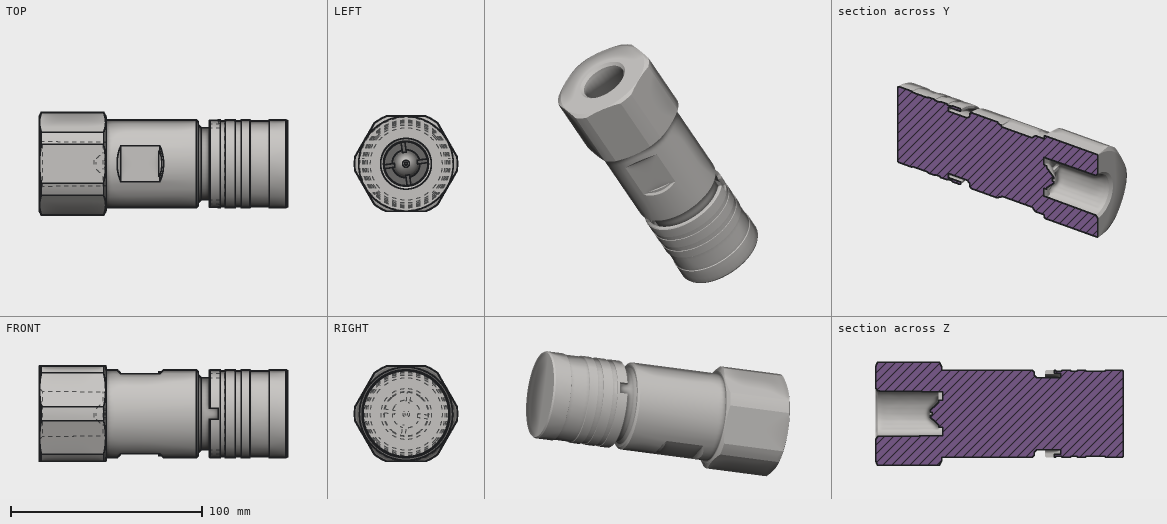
import cadquery as cq
import math

TOTAL_LENGTH = 129.85

NUT_LENGTH = 34.9
NUT_ACROSS_FLATS = 50.0
NUT_CORNER_RADIUS = 27.0
NUT_FACE_RADIUS = 24.8
NUT_FRONT_CHAMFER_LENGTH = 1.0
NUT_BACK_CHAMFER_LENGTH = 1.3
NUT_BACK_RADIUS = 24.4

BODY_RADIUS = 23.0
BODY_END = 82.2
BODY_CHAMFER_LENGTH = 1.0
BODY_CHAMFER_DEPTH = 1.2
NECK_RADIUS = 18.9
NECK_CONE_HEIGHT = 1.4

SLEEVE_START = 88.8
SLEEVE_START_CHAMFER = 0.5
SLEEVE_INNER_RADIUS = 21.1
SLEEVE_GAP_DEPTH = 8.0
SLEEVE_END_CHAMFER_LENGTH = 0.9
SLEEVE_END_CHAMFER_DEPTH = 0.5
GROOVE_RADIUS = 22.5
GRIP_GROOVES = [(94.6, 97.3), (102.4, 105.5)]
BAND_START = 110.3
BAND_END = 120.2
BAND_SIDE_CHAMFER = 0.2
NOTCH_WIDTH = 6.0
NOTCH_LENGTH = 4.7

FLAT_HEIGHT = 21.0
FLAT_START = 42.6
FLAT_END = 63.0
CORE_RADIUS = 22.0
CORE_START = 62.5

BORE_RADIUS = 11.8
BORE_FLOOR_RADIUS = 11.5
BORE_DEPTH = 35.0
BORE_MOUTH_RADIUS = 13.3
BORE_MOUTH_DEPTH = 1.4
HUB_BASE_RADIUS = 7.3
HUB_CONE_RADIUS = 6.0
HUB_BASE_HEIGHT = 2.0
HUB_CONE_HEIGHT = 4.5
HUB_TIP_RADIUS = 1.8
HUB_HOLE_RADIUS = 0.7
HUB_HOLE_DEPTH = 1.0
SPOKE_COUNT = 4
SPOKE_WIDTH = 2.0
SPOKE_TILT = -8.0


def turned(points):
    """Solid of revolution about the X axis from (x, radius) points."""
    return cq.Workplane("XZ").polyline(points).close().revolve(360, (0, 0, 0), (1, 0, 0))


def cylinder(start, end, radius):
    """Cylinder along the X axis between two stations."""
    return cq.Workplane("YZ", origin=(start, 0, 0)).circle(radius).extrude(end - start)


def make_nut():
    """Hexagon with flats on +Z and -Z, its corners rounded off and chamfered at both ends."""
    across_corners = NUT_ACROSS_FLATS / math.cos(math.pi / 6)
    hexagon = cq.Workplane("YZ").polygon(6, across_corners).extrude(NUT_LENGTH)
    envelope = turned([
        (0, 0),
        (0, NUT_FACE_RADIUS),
        (NUT_FRONT_CHAMFER_LENGTH, NUT_CORNER_RADIUS),
        (NUT_LENGTH - NUT_BACK_CHAMFER_LENGTH, NUT_CORNER_RADIUS),
        (NUT_LENGTH, NUT_BACK_RADIUS),
        (NUT_LENGTH, 0),
    ])
    return hexagon.intersect(envelope)


def make_body():
    """Body, neck and sleeve as one turned profile; the sleeve overhangs the neck with a gap."""
    step = BODY_END + BODY_CHAMFER_LENGTH
    gap_end = SLEEVE_START + SLEEVE_GAP_DEPTH
    return turned([
        (NUT_LENGTH / 2, 0),
        (NUT_LENGTH / 2, BODY_RADIUS),
        (BODY_END, BODY_RADIUS),
        (step, BODY_RADIUS - BODY_CHAMFER_DEPTH),
        (step, NECK_RADIUS + NECK_CONE_HEIGHT),
        (step + NECK_CONE_HEIGHT, NECK_RADIUS),
        (gap_end, NECK_RADIUS),
        (gap_end, SLEEVE_INNER_RADIUS),
        (SLEEVE_START, SLEEVE_INNER_RADIUS),
        (SLEEVE_START, BODY_RADIUS - SLEEVE_START_CHAMFER),
        (SLEEVE_START + SLEEVE_START_CHAMFER, BODY_RADIUS),
        (TOTAL_LENGTH - SLEEVE_END_CHAMFER_LENGTH, BODY_RADIUS),
        (TOTAL_LENGTH, BODY_RADIUS - SLEEVE_END_CHAMFER_DEPTH),
        (TOTAL_LENGTH, 0),
    ])


def cut_sleeve_grooves(part):
    """Two square grip grooves and a wide band with bevelled sides."""
    for start, end in GRIP_GROOVES:
        ring = cylinder(start, end, BODY_RADIUS).cut(cylinder(start, end, GROOVE_RADIUS))
        part = part.cut(ring)
    band = turned([
        (BAND_START, GROOVE_RADIUS),
        (BAND_START - BAND_SIDE_CHAMFER, BODY_RADIUS),
        (BAND_END + BAND_SIDE_CHAMFER, BODY_RADIUS),
        (BAND_END, GROOVE_RADIUS),
    ])
    return part.cut(band)


def cut_sleeve_notches(part):
    """Rectangular notches at the start of the sleeve on +Y and -Y, down to the neck surface."""
    slot = cq.Workplane("XY").box(
        NOTCH_LENGTH, 2 * BODY_RADIUS, NOTCH_WIDTH, centered=(False, True, True)
    ).translate((SLEEVE_START, 0, 0))
    return part.cut(slot.cut(cylinder(SLEEVE_START, SLEEVE_START + NOTCH_LENGTH, NECK_RADIUS)))


def cut_wrench_flats(part):
    """Flats with 45 degree ends; the inner core shows past the +X end of each flat."""
    rise = BODY_RADIUS - FLAT_HEIGHT
    pocket = (
        cq.Workplane("XZ")
        .polyline([
            (FLAT_START, FLAT_HEIGHT),
            (FLAT_START - rise, BODY_RADIUS),
            (FLAT_END + rise, BODY_RADIUS),
            (FLAT_END, FLAT_HEIGHT),
        ])
        .close()
        .extrude(BODY_RADIUS, both=True)
    )
    pocket = pocket.cut(cylinder(CORE_START, FLAT_END + rise, CORE_RADIUS))
    return part.cut(pocket).cut(pocket.mirror("XY"))


def make_hub():
    """Bevelled disc carrying a blunt cone with a small hole in its tip."""
    base_front = BORE_DEPTH - HUB_BASE_HEIGHT
    tip = base_front - HUB_CONE_HEIGHT
    return turned([
        (BORE_DEPTH, 0),
        (BORE_DEPTH, HUB_BASE_RADIUS),
        (base_front, HUB_CONE_RADIUS),
        (tip, HUB_TIP_RADIUS),
        (tip, HUB_HOLE_RADIUS),
        (tip + HUB_HOLE_DEPTH, HUB_HOLE_RADIUS),
        (tip + HUB_HOLE_DEPTH, 0),
    ])


def make_spokes():
    """Flat spokes joining the hub cone to the bore wall."""
    base_front = BORE_DEPTH - HUB_BASE_HEIGHT
    spokes = cq.Workplane("YZ")
    for index in range(SPOKE_COUNT):
        spoke = cq.Workplane("XY").box(
            HUB_BASE_HEIGHT, BORE_RADIUS - HUB_CONE_RADIUS, SPOKE_WIDTH, centered=(False, False, True)
        ).translate((base_front, HUB_CONE_RADIUS, 0))
        angle = SPOKE_TILT + index * 360 / SPOKE_COUNT
        spokes = spokes.add(spoke.rotate((0, 0, 0), (1, 0, 0), angle))
    return spokes.combine()


def cut_bore(part):
    """Blind bore, slightly tapered, with a chamfered mouth."""
    bore = turned([
        (0, 0),
        (0, BORE_MOUTH_RADIUS),
        (BORE_MOUTH_DEPTH, BORE_RADIUS),
        (BORE_DEPTH, BORE_FLOOR_RADIUS),
        (BORE_DEPTH, 0),
    ])
    return part.cut(bore)


part = make_nut().union(make_body())
part = cut_sleeve_grooves(part)
part = cut_sleeve_notches(part)
part = cut_wrench_flats(part)
part = cut_bore(part)
result = part.union(make_hub()).union(make_spokes())